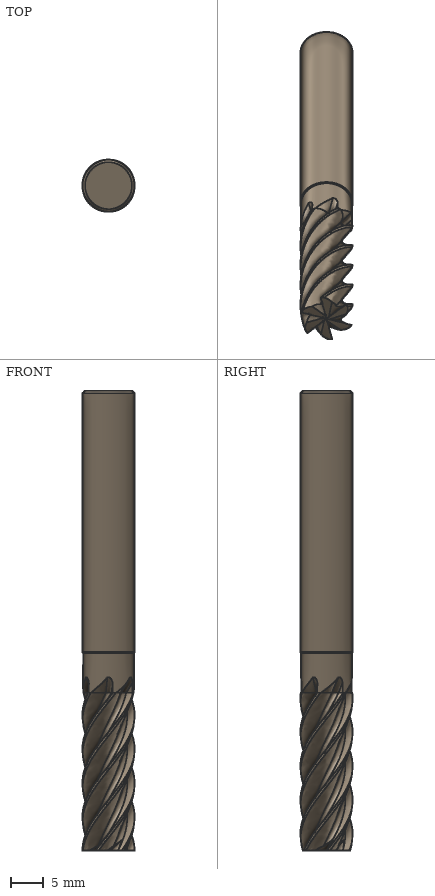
import cadquery as cq
import math

length = 70.0
diameter = 8.0
radius = diameter / 2

shank_chamfer = 0.4
neck_top = 30.0
neck_step = 0.105
neck_radius = radius - neck_step
neck_chamfer_height = 0.2

flute_count = 6
flute_pitch_angle = 360 / flute_count
helix_angle = 39.0
lead = math.pi * diameter / math.tan(math.radians(helix_angle))
cut_length = 24.0
runout_length = 2.4

land_radius = 3.9
land_angle = 7.0
back_radius = 3.3
back_angle = 23.0
root_radius = 2.4
root_angle = 41.0
floor_radius = 2.45
floor_angle = 53.0
rake_foot_radius = 2.9

end_relief_angle = 4.0
gash_start = 0.4
gash_slope = 37.0
gash_rake_lean = 28.0
gash_floor_slope = 32.0

clear_radius = 1.2 * radius


def polar(distance, angle):
    """Point in the XY plane at a distance and an angle in degrees."""
    return distance * math.cos(math.radians(angle)), distance * math.sin(math.radians(angle))


def tan_degrees(angle):
    return math.tan(math.radians(angle))


def twist_at(height):
    """Angle in degrees that the flutes turn over a height."""
    return 360 * height / lead


def draw_flute(sketch, edge):
    """Continue an outline from the end of a land, through the flute, to the foot of the next rake."""
    return sketch.threePointArc(
        polar(back_radius, edge + back_angle), polar(root_radius, edge + root_angle)
    ).threePointArc(
        polar(floor_radius, edge + floor_angle), polar(rake_foot_radius, edge + flute_pitch_angle)
    )


def make_fluted_bar():
    """Right-hand twisted bar with six teeth."""
    section = cq.Workplane("XY").moveTo(radius, 0)
    for tooth in range(flute_count):
        edge = tooth * flute_pitch_angle
        section = section.lineTo(*polar(land_radius, edge + land_angle))
        section = draw_flute(section, edge)
        if tooth < flute_count - 1:
            section = section.lineTo(*polar(radius, edge + flute_pitch_angle))
    return section.close().twistExtrude(cut_length, twist_at(cut_length))


def make_end_relief():
    """Wedge under the tooth on the +X axis, so that its end face rises behind the cutting edge."""
    rise = clear_radius * tan_degrees(end_relief_angle)
    wedge = (
        cq.Workplane("YZ")
        .polyline([(0, 0), (clear_radius, rise), (clear_radius, 0)])
        .close()
        .extrude(clear_radius)
    )
    sector_radius = 2 * clear_radius
    sector = (
        cq.Workplane("XY")
        .polyline([(0, 0), (sector_radius, 0), polar(sector_radius, flute_pitch_angle)])
        .close()
        .extrude(rise)
    )
    return wedge.intersect(sector)


def make_gash():
    """V-groove in front of the end edge on the +X axis, getting deeper outward."""
    run = clear_radius - gash_start
    depth = run * tan_degrees(gash_slope)
    lean = depth * tan_degrees(gash_rake_lean)
    width = depth / tan_degrees(gash_floor_slope)
    groove_side = (
        cq.Workplane("YZ", origin=(gash_start, 0, -depth))
        .polyline([(0, depth), (-lean, 0), (-width, 0)])
        .close()
        .wires()
        .val()
    )
    groove = cq.Solid.extrudeLinear(groove_side, [], cq.Vector(run, lean, depth))
    return cq.Workplane(groove)


def make_cutter():
    """Fluted cutting part with its end teeth."""
    cutter = make_fluted_bar()
    end_relief = make_end_relief()
    gash = make_gash()
    for tooth in range(flute_count):
        edge = tooth * flute_pitch_angle
        for tool in (end_relief, gash):
            cutter = cutter.cut(tool.rotate((0, 0, 0), (0, 0, 1), edge))
    return cutter


def make_runout(edge):
    """Straight flute end that rises outward, with its rake wall standing along the axis."""
    next_edge = edge + flute_pitch_angle
    outline = cq.Workplane("XY", origin=(0, 0, cut_length))
    outline = outline.moveTo(*polar(clear_radius, edge + land_angle))
    outline = outline.lineTo(*polar(land_radius, edge + land_angle))
    outline = draw_flute(outline, edge).lineTo(*polar(clear_radius, next_edge)).close()

    root_lag = math.radians(flute_pitch_angle - root_angle)
    root_offset = root_radius * math.sin(root_lag)
    root_travel = math.sqrt(neck_radius**2 - root_offset**2) - root_radius * math.cos(root_lag)
    path = cq.Vector(*polar(root_travel, next_edge), runout_length)
    return cq.Workplane(cq.Solid.extrudeLinear(outline.wires().val(), [], path))


def make_shank():
    """Plain shank with a slightly reduced neck, into which the flutes run out."""
    shank = (
        cq.Workplane("XZ")
        .moveTo(0, cut_length)
        .lineTo(neck_radius, cut_length)
        .lineTo(neck_radius, neck_top)
        .lineTo(radius, neck_top + neck_chamfer_height)
        .lineTo(radius, length - shank_chamfer)
        .lineTo(radius - shank_chamfer, length)
        .lineTo(0, length)
        .close()
        .revolve(360, (0, 0, 0), (0, 1, 0))
    )
    for flute in range(flute_count):
        edge = twist_at(cut_length) + flute * flute_pitch_angle
        shank = shank.cut(make_runout(edge))
    return shank


cutter = make_cutter()
shank = make_shank()
result = cq.Compound.makeCompound([cutter.val(), shank.val()])